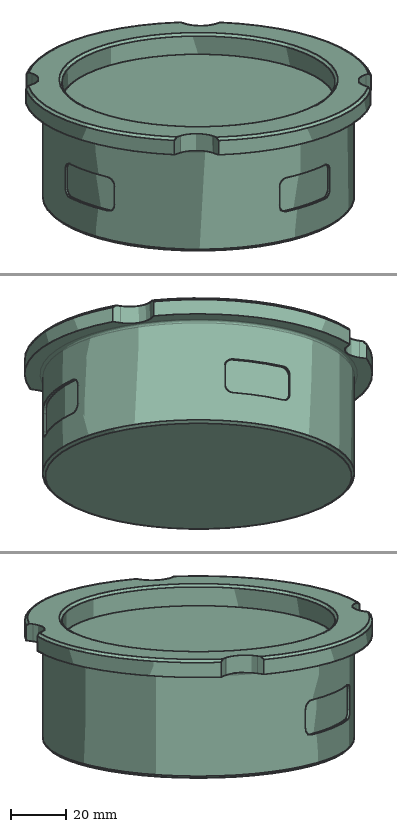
import cadquery as cq

height = 46.0
flange_diameter = 126.0
flange_thickness = 6.5
flange_chamfer = 1.0
body_diameter = 113.0
body_bottom_chamfer = 1.0
neck_fillet = 1.0

pocket_diameter = 99.0
pocket_depth = 8.0
pocket_chamfer = 1.0

notch_inner_edge = 38.5
notch_corner_radius = 8.5

panel_height = 13.0
panel_corner_radius = 3.0
panel_depth = 1.0
panel_center_z = 18.5
rating_panel_width = 25.5
rating_panel_angles = (0, 90)
size_panel_width = 32.0
size_panel_angle = -90

body_radius = body_diameter / 2
flange_radius = flange_diameter / 2
flange_bottom_z = height - flange_thickness


def make_blank():
    """Revolve the flanged, pocketed profile about Z."""
    pocket_radius = pocket_diameter / 2
    pocket_floor_z = height - pocket_depth
    profile = (
        cq.Workplane("XZ")
        .moveTo(0, 0)
        .lineTo(body_radius - body_bottom_chamfer, 0)
        .lineTo(body_radius, body_bottom_chamfer)
        .lineTo(body_radius, flange_bottom_z - neck_fillet)
        .radiusArc((body_radius + neck_fillet, flange_bottom_z), neck_fillet)
        .lineTo(flange_radius, flange_bottom_z)
        .lineTo(flange_radius, height - flange_chamfer)
        .lineTo(flange_radius - flange_chamfer, height)
        .lineTo(pocket_radius + pocket_chamfer, height)
        .lineTo(pocket_radius, height - pocket_chamfer)
        .lineTo(pocket_radius, pocket_floor_z)
        .lineTo(0, pocket_floor_z)
        .close()
    )
    return profile.revolve(360, (0, 0, 0), (0, 1, 0))


def make_notch(x_side, y_side):
    """Square-sided cutter with one rounded inner corner, reaching past the flange rim."""
    size = flange_radius - notch_inner_edge
    center = notch_inner_edge + size / 2
    inner_edge = "<X" if x_side > 0 else ">X"
    inner_side = "<Y" if y_side > 0 else ">Y"
    return (
        cq.Workplane("XY", origin=(x_side * center, y_side * center, flange_bottom_z))
        .rect(size, size)
        .extrude(flange_thickness)
        .edges("|Z")
        .edges(inner_edge)
        .edges(inner_side)
        .fillet(notch_corner_radius)
    )


def make_panel(width, angle):
    """Rounded-rectangle cutter of even depth into the wall, turned from -Y by angle."""
    outline = (
        cq.Workplane("XZ", origin=(0, 0, panel_center_z))
        .rect(width, panel_height)
        .extrude(flange_radius)
        .edges("|Y")
        .fillet(panel_corner_radius)
    )
    core = cq.Workplane("XY").circle(body_radius - panel_depth).extrude(height)
    return outline.cut(core).rotate((0, 0, 0), (0, 0, 1), angle)


result = make_blank()

for x_side in (-1, 1):
    for y_side in (-1, 1):
        result = result.cut(make_notch(x_side, y_side))

for angle in rating_panel_angles:
    result = result.cut(make_panel(rating_panel_width, angle))
result = result.cut(make_panel(size_panel_width, size_panel_angle))